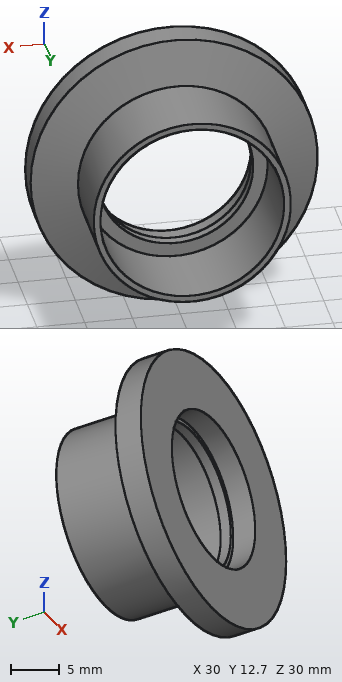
import cadquery as cq
import math

flange_diameter = 30.0
tube_diameter = 20.6
overall_length = 12.7

rim_thickness = 3.0
clamp_face_angle = 15.0

front_recess_diameter = 17.2
front_recess_depth = 2.6
land_diameter = 16.2
land_length = 1.2
tube_socket_diameter = 19.2

flange_radius = flange_diameter / 2
tube_radius = tube_diameter / 2
clamp_face_rise = (flange_radius - tube_radius) * math.tan(math.radians(clamp_face_angle))
clamp_face_end = rim_thickness + clamp_face_rise
socket_start = front_recess_depth + land_length
socket_depth = overall_length - socket_start


def make_body():
    """Revolve the solid outline about Y, with the flange face at Y = 0."""
    return (
        cq.Workplane("XY")
        .lineTo(flange_radius, 0)
        .lineTo(flange_radius, rim_thickness)
        .lineTo(tube_radius, clamp_face_end)
        .lineTo(tube_radius, overall_length)
        .lineTo(0, overall_length)
        .close()
        .revolve(360, (0, 0, 0), (0, 1, 0))
    )


def make_bore(diameter, start, length):
    """Cylinder along +Y that begins at Y = start."""
    axis = cq.Vector(0, 1, 0)
    return cq.Workplane(cq.Solid.makeCylinder(diameter / 2, length, cq.Vector(0, start, 0), axis))


front_recess = make_bore(front_recess_diameter, 0, front_recess_depth)
land_bore = make_bore(land_diameter, 0, overall_length)
tube_socket = make_bore(tube_socket_diameter, socket_start, socket_depth)

result = make_body().cut(front_recess).cut(land_bore).cut(tube_socket)